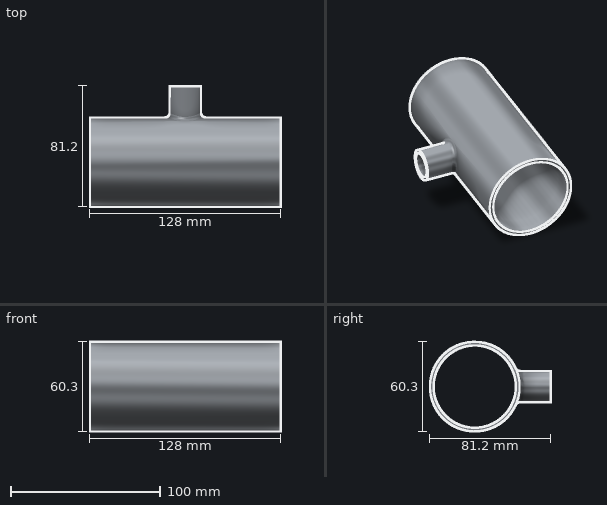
import cadquery as cq

run_length = 128.0
run_outer_diameter = 60.3
run_bore_diameter = 55.0

branch_outer_diameter = 21.2
branch_bore_diameter = 16.6
junction_fillet_radius = 3.0

overall_depth = 81.2
run_outer_radius = run_outer_diameter / 2
branch_reach = overall_depth - run_outer_radius


def run_cylinder(diameter):
    """Cylinder along X, centred on the origin, as long as the run."""
    return cq.Workplane("YZ").circle(diameter / 2).extrude(run_length / 2, both=True)


def branch_cylinder(diameter):
    """Cylinder from the run axis out to the open end of the branch."""
    return cq.Workplane("XZ").circle(diameter / 2).extrude(-branch_reach)


def junction_edges():
    """Selector for the curve where the branch meets the outside of the run."""
    branch_radius = branch_outer_diameter / 2
    return cq.selectors.BoxSelector(
        (-branch_radius, 0, -branch_radius),
        (branch_radius, run_outer_radius, branch_radius),
    )


body = run_cylinder(run_outer_diameter).union(branch_cylinder(branch_outer_diameter))
body = body.edges(junction_edges()).fillet(junction_fillet_radius)

result = body.cut(run_cylinder(run_bore_diameter)).cut(branch_cylinder(branch_bore_diameter))